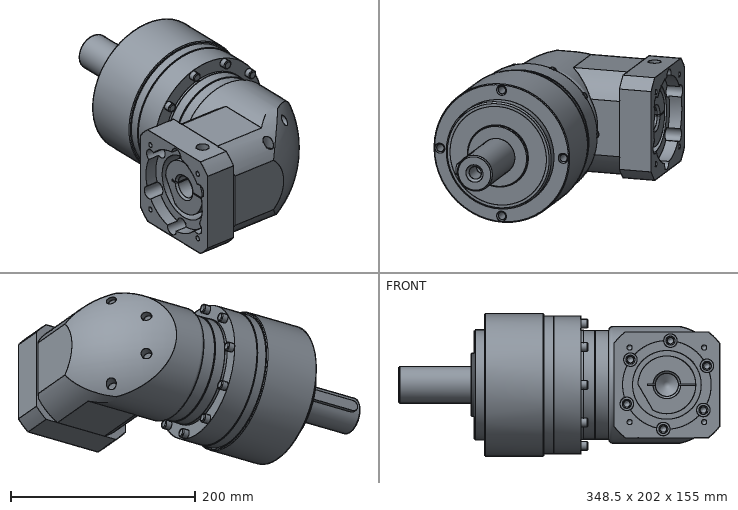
import cadquery as cq
import math


SHAFT_DIAMETER = 40.0
SHAFT_CHAMFER = 1.5
SHAFT_SEAT_DEPTH = 35.0
CENTRE_HOLE_DIAMETER = 14.0
CENTRE_HOLE_DEPTH = 28.0
CENTRE_HOLE_CHAMFER = 2.8
KEY_START = 6.3
KEY_LENGTH = 67.0
KEY_WIDTH = 12.2
KEY_TOP = 23.5
KEY_BOTTOM = 15.0

SEAL_FACE = 78.8
PILOT_FACE = 82.0
FLANGE_FACE = 93.5
FLANGE_BACK = 157.5
HOUSING_BACK = 168.5
COVER_BACK = 197.5
SPIGOT_BACK = 200.5
COVER_NECK_BACK = 213.0
ADAPTER_BACK = 228.0

SEAL_DIAMETER = 69.0
SEAL_RIM_DIAMETER = 110.0
SEAL_RIM_THICKNESS = 5.2
SEAL_CHAMFER = 1.0
PILOT_DIAMETER = 120.0
PILOT_CHAMFER = 1.7
FLANGE_DIAMETER = 155.0
FLANGE_CHAMFER = 1.0
RING_DIAMETER = 150.0
NECK_DIAMETER = 118.0
SPIGOT_DIAMETER = 119.0
JOINT_CHAMFER = 0.7

MOUNT_HOLE_COUNT = 4
MOUNT_CIRCLE_DIAMETER = 140.8
MOUNT_HOLE_DIAMETER = 8.5
MOUNT_HOLE_DEPTH = 21.0
MOUNT_HOLE_CHAMFER = 1.5

BOLT_COUNT = 10
BOLT_CIRCLE_DIAMETER = 139.5
BOLT_HEAD_DIAMETER = 9.8
BOLT_HEAD_HEIGHT = 7.5
BOLT_HEAD_CHAMFER = 1.0

OVERALL_LENGTH = 348.5
OVERALL_WIDTH = 202.0
INPUT_SIDE = 115.0
INPUT_X = OVERALL_LENGTH - INPUT_SIDE / 2
INPUT_FACE_Y = FLANGE_DIAMETER / 2 - OVERALL_WIDTH
INPUT_THICKNESS = 36.2
INPUT_CORNER_DIAMETER = 146.0
ARM_END_Y = INPUT_FACE_Y + INPUT_THICKNESS

ELBOW_DIAMETER = 127.0
ELBOW_FILLET = 4.5
ARM_DIAMETER = 130.0
ARM_WIDTH = 114.3
ARM_HEIGHT = INPUT_SIDE
CAP_DISTANCE = 38.7
CAP_SHIFT = 3.5
CAP_PROFILE_RADIUS = 153.5
CAP_CROSS_RADIUS = 102.8
CAP_HALF_LENGTH = 104.5

ELBOW_HOLE_DIAMETER = 11.0
CAP_HOLES = [(25.0, 11.0, 50.5), (2.0, 46.0, 22.5)]
CAP_HOLE_RUNOUT = 7.0
ARM_HOLE_X = 45.0
ARM_HOLE_Y = -29.3
ELBOW_HOLE_DEPTH = 21.0

POCKET_DIAMETER = 96.2
POCKET_DEPTH = 14.0
HUB_CLEARANCE_DIAMETER = 74.5
SCREW_COUNT = 6
SCREW_START_ANGLE = 25.4
COUNTERBORE_DIAMETER = 14.5
COUNTERBORE_DEPTH = 24.5
SCREW_HOLE_DIAMETER = 7.0
SCREW_HOLE_DEPTH = 7.5
SCREW_HOLE_CHAMFER = 1.5
MOTOR_HOLE_OFFSET = 40.5
MOTOR_HOLE_DIAMETER = 5.5
MOTOR_HOLE_DEPTH = 17.5
ACCESS_HOLE_DIAMETER = 14.0
CLAMP_OFFSET = 21.5
CLAMP_FROM_FACE = 22.3

HUB_DIAMETER = 62.7
HUB_SEAT_DIAMETER = 48.8
HUB_SEAT_DEPTH = 14.0
HUB_BORE_DIAMETER = 25.0
HUB_BORE_DEPTH = 24.5
HUB_BORE_CHAMFER = 2.5
HUB_FLAT_DISTANCE = 27.0
HUB_FLAT_ANGLE = 210.0
SLOT_WIDTH = 1.5
SLOT_DEPTH = 21.0
SHORT_SLOT_REACH = 21.0
CLAMP_HOLE_DIAMETER = 8.5
CLAMP_HOLE_DEPTH = 21.0

DRILL_POINT_ANGLE = 118.0


def disc(start, end, diameter):
    """Cylinder on the output axis between two X stations."""
    return cq.Workplane("YZ", origin=(start, 0, 0)).circle(diameter / 2).extrude(end - start)


def input_plane(depth=0.0):
    """Plane square to the input axis, facing outward, at a depth below the input face."""
    return cq.Workplane("XZ", origin=(INPUT_X, INPUT_FACE_Y + depth, 0))


def ring_points(count, diameter, start_angle=0.0):
    """Evenly spaced points on a circle."""
    points = []
    for index in range(count):
        angle = math.radians(start_angle + index * 360.0 / count)
        points.append((diameter / 2 * math.cos(angle), diameter / 2 * math.sin(angle)))
    return points


def drill(point, direction, diameter, depth, mouth_chamfer=0.0):
    """Tool for a countersunk blind hole with a drill point, starting at a point."""
    radius = diameter / 2
    tip = radius / math.tan(math.radians(DRILL_POINT_ANGLE / 2))
    profile = [(0, 0), (radius + mouth_chamfer, 0)]
    if mouth_chamfer > 0:
        profile.append((radius, mouth_chamfer))
    profile += [(radius, depth), (0, depth + tip)]
    cutter = cq.Workplane("XZ").polyline(profile).close().revolve(360, (0, 0, 0), (0, 1, 0))
    plane = cq.Plane(origin=point, normal=direction)
    return cq.Workplane(cutter.val().moved(plane.location))


def make_shaft():
    """Output shaft with a centre hole in its tip and a keyway."""
    end = PILOT_FACE + SHAFT_SEAT_DEPTH
    shaft = disc(0, end, SHAFT_DIAMETER).faces("<X").chamfer(SHAFT_CHAMFER)
    centre_hole = drill((0, 0, 0), (1, 0, 0), CENTRE_HOLE_DIAMETER, CENTRE_HOLE_DEPTH, CENTRE_HOLE_CHAMFER)
    return shaft.cut(centre_hole).cut(make_key())


def make_key():
    """Round-ended key standing on the +Y side of the shaft."""
    return (
        cq.Workplane("XZ", origin=(KEY_START + KEY_LENGTH / 2, KEY_TOP, 0))
        .slot2D(KEY_LENGTH, KEY_WIDTH)
        .extrude(KEY_TOP - KEY_BOTTOM)
    )


def seal_recess():
    """Space in the pilot face that the rim of the seal fills."""
    return disc(PILOT_FACE, PILOT_FACE + SEAL_RIM_THICKNESS, SEAL_RIM_DIAMETER)


def make_seal():
    """Seal with a rim flush with the pilot face and a raised collar round the shaft."""
    collar = disc(SEAL_FACE, PILOT_FACE, SEAL_DIAMETER).faces("<X").chamfer(SEAL_CHAMFER)
    return collar.union(seal_recess()).cut(disc(SEAL_FACE, FLANGE_FACE, SHAFT_DIAMETER))


def make_housing():
    """Housing with a centring pilot, a wide flange with tapped holes, and a ring behind it."""
    pilot = disc(PILOT_FACE, FLANGE_FACE, PILOT_DIAMETER).faces("<X").chamfer(PILOT_CHAMFER)
    flange = disc(FLANGE_FACE, FLANGE_BACK, FLANGE_DIAMETER).faces("<X or >X").chamfer(FLANGE_CHAMFER)
    ring = disc(FLANGE_BACK, HOUSING_BACK, RING_DIAMETER).faces(">X").chamfer(JOINT_CHAMFER)
    housing = pilot.union(flange).union(ring)
    for y, z in ring_points(MOUNT_HOLE_COUNT, MOUNT_CIRCLE_DIAMETER):
        mount_hole = drill(
            (FLANGE_FACE, y, z), (1, 0, 0), MOUNT_HOLE_DIAMETER, MOUNT_HOLE_DEPTH, MOUNT_HOLE_CHAMFER
        )
        housing = housing.cut(mount_hole)
    shaft_bore = disc(PILOT_FACE, PILOT_FACE + SHAFT_SEAT_DEPTH, SHAFT_DIAMETER)
    return housing.cut(shaft_bore).cut(seal_recess())


def make_rear_cover():
    """Rear cover with its neck and its ring of bolt heads in one piece."""
    cover = disc(HOUSING_BACK, COVER_BACK, RING_DIAMETER)
    spigot = disc(COVER_BACK, SPIGOT_BACK, SPIGOT_DIAMETER)
    neck = disc(SPIGOT_BACK, COVER_NECK_BACK, NECK_DIAMETER).faces(">X").chamfer(JOINT_CHAMFER)
    bolt_heads = (
        cq.Workplane("YZ", origin=(COVER_BACK, 0, 0))
        .pushPoints(ring_points(BOLT_COUNT, BOLT_CIRCLE_DIAMETER))
        .circle(BOLT_HEAD_DIAMETER / 2)
        .extrude(BOLT_HEAD_HEIGHT)
        .faces(">X")
        .chamfer(BOLT_HEAD_CHAMFER)
    )
    return cover.union(spigot).union(neck).union(bolt_heads)


def make_adapter():
    """Plain ring between the rear cover and the elbow."""
    return disc(COVER_NECK_BACK, ADAPTER_BACK, NECK_DIAMETER).faces("<X").chamfer(JOINT_CHAMFER)


def corner_plane():
    """Plane through both axes: its X runs across the elbow corner, its Y points out of it."""
    return cq.Plane(origin=(INPUT_X, 0, 0), xDir=(1, -1, 0), normal=(0, 0, 1))


def make_cap_envelope():
    """Barrel about an axis square to the elbow's 45 degree outward direction."""
    axis_distance = CAP_DISTANCE - CAP_CROSS_RADIUS
    sagitta = CAP_PROFILE_RADIUS - math.sqrt(CAP_PROFILE_RADIUS**2 - CAP_HALF_LENGTH**2)
    end_radius = CAP_CROSS_RADIUS - sagitta
    left = -CAP_SHIFT - CAP_HALF_LENGTH
    right = -CAP_SHIFT + CAP_HALF_LENGTH
    return (
        cq.Workplane(corner_plane())
        .moveTo(left, axis_distance)
        .lineTo(left, axis_distance + end_radius)
        .threePointArc((-CAP_SHIFT, CAP_DISTANCE), (right, axis_distance + end_radius))
        .lineTo(right, axis_distance)
        .close()
        .revolve(360, (left, axis_distance, 0), (right, axis_distance, 0))
    )


def elbow_rear_block():
    """Everything behind the barrel's axis, which the rounding of the corner leaves untouched."""
    axis_distance = CAP_DISTANCE - CAP_CROSS_RADIUS
    reach = OVERALL_LENGTH
    return (
        cq.Workplane(corner_plane())
        .center(0, axis_distance - reach / 2)
        .rect(2 * reach, reach)
        .extrude(reach, both=True)
    )


def elbow_holes():
    """Start and direction of each hole drilled into the elbow."""
    holes = [((INPUT_X + ARM_HOLE_X, ARM_HOLE_Y, ARM_HEIGHT / 2), (0, 0, -1))]
    for x, y, z in CAP_HOLES:
        for side in (-1, 1):
            start = (INPUT_X + x + CAP_HOLE_RUNOUT, y + CAP_HOLE_RUNOUT, side * z)
            holes.append((start, (-1, -1, 0)))
    return holes


def make_elbow():
    """Output leg and input arm: the two round bodies cross, the arm has flats, the corner is rounded off."""
    leg = disc(ADAPTER_BACK, INPUT_X, ELBOW_DIAMETER).faces("<X").fillet(ELBOW_FILLET)
    leg_end = disc(INPUT_X, INPUT_X + ARM_WIDTH / 2, ELBOW_DIAMETER)

    arm_base = cq.Workplane("XZ", origin=(INPUT_X, ARM_END_Y, 0))
    arm_round = arm_base.circle(ARM_DIAMETER / 2).extrude(ARM_END_Y - ELBOW_DIAMETER)
    arm_square = arm_base.rect(ARM_WIDTH, ARM_HEIGHT).extrude(ARM_END_Y)

    elbow = leg.union(leg_end.intersect(arm_round)).union(arm_square.intersect(arm_round))
    elbow = elbow.intersect(make_cap_envelope().union(elbow_rear_block()))
    for point, direction in elbow_holes():
        elbow = elbow.cut(drill(point, direction, ELBOW_HOLE_DIAMETER, ELBOW_HOLE_DEPTH))
    return elbow.cut(hub_seat())


def make_input_flange():
    """Square motor flange with turned corners, a stepped pocket, screw holes and a clamp access hole."""
    flange = input_plane(INPUT_THICKNESS).rect(INPUT_SIDE, INPUT_SIDE).extrude(INPUT_THICKNESS)
    turned_corners = input_plane(INPUT_THICKNESS).circle(INPUT_CORNER_DIAMETER / 2).extrude(INPUT_THICKNESS)
    flange = flange.intersect(turned_corners)

    screws = ring_points(SCREW_COUNT, POCKET_DIAMETER, SCREW_START_ANGLE)
    pocket = input_plane().circle(POCKET_DIAMETER / 2).extrude(-POCKET_DEPTH)
    counterbores = input_plane().pushPoints(screws).circle(COUNTERBORE_DIAMETER / 2).extrude(-COUNTERBORE_DEPTH)
    hub_clearance = input_plane().circle(HUB_CLEARANCE_DIAMETER / 2).extrude(-INPUT_THICKNESS)
    flange = flange.cut(pocket).cut(counterbores).cut(hub_clearance)

    for x, z in screws:
        start = (INPUT_X + x, INPUT_FACE_Y + COUNTERBORE_DEPTH, z)
        flange = flange.cut(
            drill(start, (0, 1, 0), SCREW_HOLE_DIAMETER, SCREW_HOLE_DEPTH, SCREW_HOLE_CHAMFER)
        )
    for x in (-MOTOR_HOLE_OFFSET, MOTOR_HOLE_OFFSET):
        for z in (-MOTOR_HOLE_OFFSET, MOTOR_HOLE_OFFSET):
            start = (INPUT_X + x, INPUT_FACE_Y, z)
            flange = flange.cut(drill(start, (0, 1, 0), MOTOR_HOLE_DIAMETER, MOTOR_HOLE_DEPTH))
    access_hole = (
        cq.Workplane("XY", origin=(INPUT_X + CLAMP_OFFSET, INPUT_FACE_Y + CLAMP_FROM_FACE, 0))
        .circle(ACCESS_HOLE_DIAMETER / 2)
        .extrude(INPUT_SIDE / 2)
    )
    return flange.cut(access_hole)


def hub_seat():
    """Round end of the hub that fills a blind recess in the elbow arm."""
    return input_plane(INPUT_THICKNESS).circle(HUB_SEAT_DIAMETER / 2).extrude(-HUB_SEAT_DEPTH)


def make_hub():
    """Clamping hub: round with one flat, bored, slotted across, with a clamp screw hole."""
    hub = input_plane(POCKET_DEPTH).circle(HUB_DIAMETER / 2).extrude(POCKET_DEPTH - INPUT_THICKNESS)
    flat = (
        cq.Workplane("XY")
        .box(HUB_DIAMETER, INPUT_THICKNESS, HUB_DIAMETER, centered=(False, False, True))
        .translate((HUB_FLAT_DISTANCE, 0, 0))
        .rotate((0, 0, 0), (0, 1, 0), -HUB_FLAT_ANGLE)
        .translate((INPUT_X, INPUT_FACE_Y, 0))
    )
    slot = (
        cq.Workplane("XY", origin=(INPUT_X - SHORT_SLOT_REACH, INPUT_FACE_Y + POCKET_DEPTH, 0))
        .box(SHORT_SLOT_REACH + HUB_DIAMETER / 2, SLOT_DEPTH, SLOT_WIDTH, centered=(False, False, True))
    )
    bore_start = (INPUT_X, INPUT_FACE_Y + POCKET_DEPTH, 0)
    bore = drill(bore_start, (0, 1, 0), HUB_BORE_DIAMETER, HUB_BORE_DEPTH, HUB_BORE_CHAMFER)
    clamp_start = (INPUT_X + CLAMP_OFFSET, INPUT_FACE_Y + CLAMP_FROM_FACE, HUB_DIAMETER / 2)
    clamp_hole = drill(clamp_start, (0, 0, -1), CLAMP_HOLE_DIAMETER, CLAMP_HOLE_DEPTH)
    return hub.cut(flat).union(hub_seat()).cut(slot).cut(bore).cut(clamp_hole)


shaft = make_shaft()
key = make_key()
seal = make_seal()
housing = make_housing()
rear_cover = make_rear_cover()
adapter = make_adapter()
elbow = make_elbow()
input_flange = make_input_flange()
hub = make_hub()

bodies = [shaft, key, seal, housing, rear_cover, adapter, elbow, input_flange, hub]
result = cq.Compound.makeCompound([solid for body in bodies for solid in body.val().Solids()])